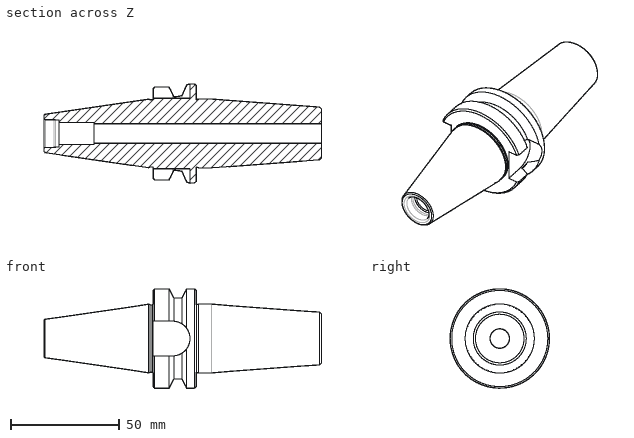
import cadquery as cq

total_length = 128.4
gauge_plane = 48.4
flange_start = 50.5
flange_end = 70.5

taper_ratio = 7 / 24
gauge_diameter = 31.8
shank_end_diameter = gauge_diameter - taper_ratio * gauge_plane
shank_chamfer = 0.5
neck_diameter = 31.2
neck_start = 49.2
neck_end = 50.1

flange_diameter = 46.0
flange_chamfer = 0.8
groove_diameter = 37.6
groove_start = 57.9
groove_floor_start = 60.1
groove_floor_end = 63.8
groove_end = groove_floor_end + groove_floor_start - groove_start

nose_diameter = 32.0
nose_root_length = 0.9
nose_root_diameter = 31.2
nose_cone_start = 77.4
nose_end_diameter = 24.5
nose_chamfer = 1.0

slot_width = 16.0
slot_floor = 16.3
slot_end = 67.5

through_diameter = 8.9
thread_diameter = 10.1
thread_end = 23.1
pilot_diameter = 12.7
pilot_depth = 4.6
pilot_step_diameter = 12.5
pilot_step_start = 5.5
pilot_step_end = 6.9
mouth_radius = 0.9


def revolve_profile(stations):
    """Solid of revolution about X from (x, diameter) stations, closed along the axis."""
    start = (stations[0][0], 0)
    end = (stations[-1][0], 0)
    outline = [start] + [(x, diameter / 2) for x, diameter in stations] + [end]
    return cq.Workplane("XY").polyline(outline).close().revolve(360, (0, 0, 0), (1, 0, 0))


def make_body():
    flange_face_diameter = flange_diameter - 2 * flange_chamfer
    return revolve_profile([
        (0, shank_end_diameter - 2 * shank_chamfer),
        (shank_chamfer, shank_end_diameter + taper_ratio * shank_chamfer),
        (gauge_plane, gauge_diameter),
        (neck_start, neck_diameter),
        (neck_end, neck_diameter),
        (flange_start, gauge_diameter),
        (flange_start, flange_face_diameter),
        (flange_start + flange_chamfer, flange_diameter),
        (groove_start, flange_diameter),
        (groove_floor_start, groove_diameter),
        (groove_floor_end, groove_diameter),
        (groove_end, flange_diameter),
        (flange_end - flange_chamfer, flange_diameter),
        (flange_end, flange_face_diameter),
        (flange_end, nose_root_diameter),
        (flange_end + nose_root_length, nose_diameter),
        (nose_cone_start, nose_diameter),
        (total_length - nose_chamfer, nose_end_diameter),
        (total_length, nose_end_diameter - 2 * nose_chamfer),
    ])


def make_bore():
    return revolve_profile([
        (0, pilot_diameter),
        (pilot_depth, pilot_diameter),
        (pilot_step_start, pilot_step_diameter),
        (pilot_step_end, pilot_step_diameter),
        (pilot_step_end, thread_diameter),
        (thread_end, thread_diameter),
        (thread_end, through_diameter),
        (total_length, through_diameter),
    ])


def make_drive_slot(side):
    """Round-ended slot open toward the shank; side is -1 or +1 along Y."""
    slot_depth = flange_diameter / 2 - slot_floor
    round_center = slot_end - slot_width / 2
    straight_length = round_center - flange_start
    straight = cq.Workplane("XY").box(
        straight_length, slot_depth, slot_width, centered=(False, False, True)
    ).translate((flange_start, slot_floor, 0))
    rounded = (
        cq.Workplane("XZ", origin=(round_center, slot_floor, 0))
        .circle(slot_width / 2)
        .extrude(-slot_depth)
    )
    slot = straight.union(rounded)
    return slot if side > 0 else slot.mirror("XZ")


def round_bore_mouth(body):
    """Round the lip where the bore meets the shank end face."""
    lip = cq.selectors.RadiusNthSelector(0)
    return body.faces("<X").edges(lip).fillet(mouth_radius)


result = round_bore_mouth(make_body().cut(make_bore()))
for side in (-1, 1):
    result = result.cut(make_drive_slot(side))